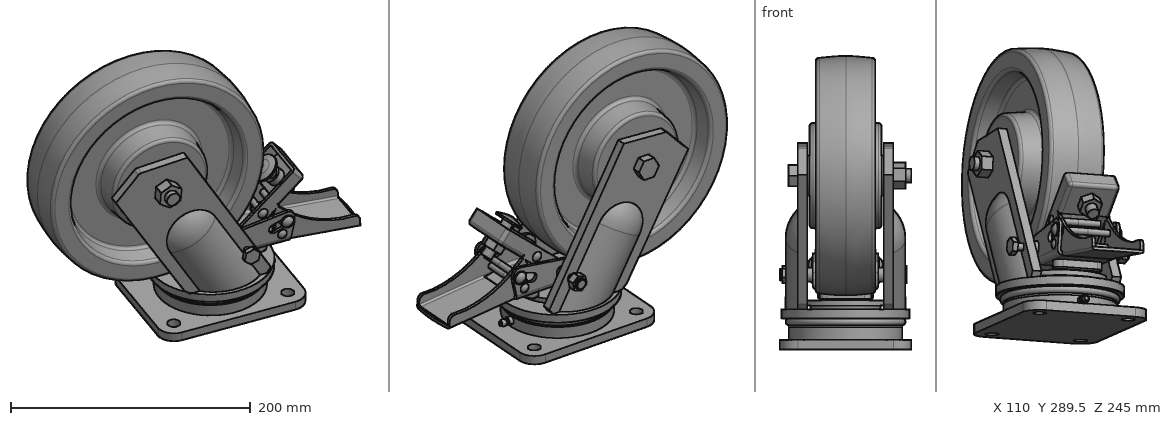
import cadquery as cq
import math


overall_length = 289.5
overall_height = 245.0

plate_width = 110.0
plate_length = 135.0
plate_thickness = 8.0
plate_corner_radius = 15.0
hole_diameter = 11.0
hole_spacing_x = 80.0
hole_spacing_y = 105.0
drum_radius = 47.5
drum_top = 18.5

nipple_height = 14.5
nipple_base_radius = 3.5
nipple_base_end = 51.5
nipple_neck_radius = 2.0
nipple_ball_radius = 3.2
nipple_ball_centre = 55.5

seal_radius = 50.0
seal_bottom = 20.3
seal_middle = 23.0
seal_top_radius = 48.5
flange_radius = 53.5
flange_bottom = 25.8
flange_top = 33.5
flange_chamfer = 0.5
cap_disc_radius = 40.0
cap_disc_bottom = 36.8
cap_disc_top = 41.0
cap_neck_root_radius = 28.0
cap_neck_radius = 29.5
cap_neck_middle = 35.0
cap_neck_top_radius = 29.0

leg_inner = 31.8
leg_thickness = 8.0
leg_outer = leg_inner + leg_thickness
leg_tilt = 30.0
leg_corner_radius = 4.3
bulge_radius = 33.5
bulge_reach = 50.0
bulge_axis_x = bulge_reach - bulge_radius
bulge_end_y = -35.0
bulge_end_z = 93.0
bulge_length = 115.8

wheel_diameter = 200.0
wheel_radius = wheel_diameter / 2
axle_y = -60.0
axle_z = overall_height - wheel_radius
tread_half_width = 25.0
tread_edge_x = 22.0
tread_edge_radius = 98.5
rim_lip_radius = 82.5
rim_recess_radius = 79.3
rim_floor_radius = 76.7
web_half_width = 7.0
web_outer_radius = 73.8
web_inner_radius = 49.2
hub_root_radius = 46.0
hub_radius = 44.0
hub_half_width = 30.0
blend = 3.0
wide_blend = 3.5

axle_diameter = 12.0
axle_end = 55.0
axle_sleeve_diameter = 34.0
axle_head_flats = 18.0
axle_head_thickness = 7.8
axle_nut_flats = 19.0
axle_nut_thickness = 10.0
axle_nut_turn = 25.3

pivot_y = 14.8
pivot_z = 62.5
pivot_shaft_diameter = 6.5
pivot_sleeve_diameter = 12.0
pivot_hex_flats = 13.0
pivot_hex_turn = 18.0
pivot_head_start = 46.5
pivot_head_thickness = 4.5
pivot_nut_start = 45.5
pivot_nut_thickness = 7.2
pivot_collar_diameter = 10.0
pivot_collar_thickness = 2.3
pivot_collar_chamfer = 1.0

sheet = 3.0
housing_half_width = 27.5
housing_bottom = 49.0
housing_bend = 5.5
housing_front_radius = 6.5
housing_end_radius = 9.3
slot_width = 8.5
slot_end_y = 45.5
slot_end_z = 67.0
pad_width = 43.0
pad_depth = 12.0
pad_y = 38.0
pad_chamfer = 1.5

pedal_half_width = 23.2
pedal_tip_y = overall_length - wheel_radius + axle_y
pedal_tip_z = 42.0
pedal_root_y = 60.0
pedal_root_z = 48.5
pedal_side_end_y = 127.3
pedal_tip_sagitta = 1.7
pedal_bend = 2.3
pedal_inner_bend = 1.7

rivet_shank_radius = 3.0
lock_rivet_y = 58.2
lock_rivet_z = 71.0
lock_rivet_diameter = 11.0
lock_rivet_height = 3.0
lock_collar_diameter = 12.0
lock_collar_thickness = 1.0
pedal_rivet_y = 53.5
pedal_rivet_z = 59.3
pedal_rivet_diameter = 8.5
arm_rivet_y = 37.5
arm_rivet_z = 82.2
arm_rivet_diameter = 9.0
small_rivet_height = 2.0

arm_tilt = 41.0
arm_length = 76.0
arm_depth = 14.8
arm_half_depth = arm_depth / 2
arm_web_start = 44.0
arm_bend = 3.2
screw_position = 58.0
screw_diameter = 10.0
screw_bottom = -23.0
screw_nut_flats = 17.0
screw_nut_thickness = 7.5
screw_collar_diameter = 15.0
screw_collar_height = 7.2
shoe_diameter = 25.0
shoe_ring_radius = 6.7
shoe_ring = 16.0
shoe_tip_radius = 2.17
shoe_rim = 12.2
shoe_apex = 17.0
shoe_thickness = 1.7

floor_slope = (pedal_root_z - pedal_tip_z) / (pedal_tip_y - pedal_root_y)


def hex_corners(flats):
    return flats / math.cos(math.radians(30))


def side_plane(x):
    """Plane at x whose local axes are Y and Z."""
    return cq.Workplane("YZ").workplane(offset=x)


def rod(y, z, diameter, start, end):
    return side_plane(start).center(y, z).circle(diameter / 2).extrude(end - start)


def hexagon(y, z, flats, start, thickness, turn=0):
    prism = side_plane(start).polygon(6, hex_corners(flats)).extrude(thickness)
    return prism.rotate((0, 0, 0), (1, 0, 0), turn).translate((0, y, z))


def both_sides(shape):
    return shape.union(shape.mirror("YZ"))


def grease_nipple():
    tip = nipple_ball_centre + nipple_ball_radius
    stem = (
        cq.Workplane("XZ", origin=(0, 0, nipple_height))
        .workplane(offset=-nipple_base_end)
        .circle(nipple_base_radius)
        .extrude(nipple_base_end - drum_radius + blend)
    )
    neck = (
        cq.Workplane("XZ", origin=(0, tip, nipple_height))
        .circle(nipple_neck_radius)
        .extrude(tip - drum_radius)
    )
    ball = cq.Workplane("XY").sphere(nipple_ball_radius).translate((0, nipple_ball_centre, nipple_height))
    return stem.union(neck).union(ball)


def make_base():
    plate = cq.Workplane("XY").rect(plate_width, plate_length).extrude(plate_thickness)
    plate = plate.edges("|Z").fillet(plate_corner_radius)
    hole_places = plate.faces(">Z").workplane().rect(hole_spacing_x, hole_spacing_y, forConstruction=True)
    plate = hole_places.vertices().hole(hole_diameter)
    drum = cq.Workplane("XY").circle(drum_radius).extrude(drum_top)
    return plate.union(drum).union(grease_nipple())


def fork_head():
    return (
        cq.Workplane("XZ")
        .moveTo(0, drum_top)
        .lineTo(drum_radius, drum_top)
        .lineTo(drum_radius, seal_bottom)
        .threePointArc((seal_radius, seal_middle), (seal_top_radius, flange_bottom))
        .lineTo(flange_radius - flange_chamfer, flange_bottom)
        .lineTo(flange_radius, flange_bottom + flange_chamfer)
        .lineTo(flange_radius, flange_top)
        .lineTo(cap_neck_root_radius, flange_top)
        .threePointArc((cap_neck_radius, cap_neck_middle), (cap_neck_top_radius, cap_disc_bottom))
        .lineTo(cap_disc_radius, cap_disc_bottom)
        .lineTo(cap_disc_radius, cap_disc_top)
        .lineTo(0, cap_disc_top)
        .close()
        .revolve(360, (0, 0), (0, 1))
    )


def fork_leg():
    front_top = (-84.0, 169.3)
    plate = (
        side_plane(leg_inner)
        .moveTo(33.3, flange_top)
        .lineTo(37.0, 38.8)
        .lineTo(-39.7, 172.5)
        .lineTo(*front_top)
        .lineTo(-106.0, 146.0)
        .lineTo(-42.8, 38.2)
        .lineTo(-37.5, flange_top)
        .close()
        .extrude(leg_thickness)
    )
    front_top_edge = cq.selectors.NearestToPointSelector((leg_inner + leg_thickness / 2, *front_top))
    return plate.edges(front_top_edge).fillet(leg_corner_radius)


def leg_bulge():
    """Round-ended stiffening bulge standing out of the leg, cut off by the flange."""
    barrel = (
        cq.Workplane("XY")
        .circle(bulge_radius)
        .extrude(-bulge_length)
        .union(cq.Workplane("XY").sphere(bulge_radius))
        .rotate((0, 0, 0), (1, 0, 0), leg_tilt)
        .translate((bulge_axis_x, bulge_end_y, bulge_end_z))
    )
    outside_leg = cq.Workplane("XY").box(
        bulge_reach, 2 * bulge_length, 2 * bulge_length, centered=(False, True, False)
    )
    return barrel.intersect(outside_leg.translate((leg_inner, 0, flange_top)))


def make_fork():
    leg = fork_leg().union(leg_bulge())
    axle_hole = rod(axle_y, axle_z, axle_diameter, -axle_end, axle_end)
    pivot_hole = rod(pivot_y, pivot_z, pivot_shaft_diameter, -axle_end, axle_end)
    return fork_head().union(both_sides(leg)).cut(axle_hole).cut(pivot_hole)


def make_wheel():
    bore_radius = axle_sleeve_diameter / 2
    crown_drop = (wheel_radius - tread_edge_radius) / 4
    half = (
        cq.Workplane("XY")
        .moveTo(0, bore_radius)
        .lineTo(hub_half_width, bore_radius)
        .lineTo(hub_half_width, hub_radius - blend)
        .radiusArc((hub_half_width - blend, hub_radius), -blend)
        .lineTo(web_half_width + blend, hub_root_radius)
        .radiusArc((web_half_width, web_inner_radius), wide_blend)
        .lineTo(web_half_width, web_outer_radius)
        .radiusArc((web_half_width + blend, rim_floor_radius), blend)
        .lineTo(tread_half_width - blend, rim_recess_radius)
        .radiusArc((tread_half_width, rim_lip_radius), -wide_blend)
        .lineTo(tread_half_width, tread_edge_radius - blend)
        .radiusArc((tread_edge_x, tread_edge_radius), -blend)
        .threePointArc((tread_edge_x / 2, wheel_radius - crown_drop), (0, wheel_radius))
        .close()
        .revolve(360, (0, 0), (1, 0))
    )
    return both_sides(half).translate((0, axle_y, axle_z))


def make_axle():
    head_start = -leg_outer - axle_head_thickness
    bolt = rod(axle_y, axle_z, axle_diameter, head_start, axle_end)
    sleeve = rod(axle_y, axle_z, axle_sleeve_diameter, -leg_inner, leg_inner)
    head = hexagon(axle_y, axle_z, axle_head_flats, head_start, axle_head_thickness)
    nut = hexagon(axle_y, axle_z, axle_nut_flats, leg_outer, axle_nut_thickness, axle_nut_turn)
    return bolt.union(sleeve).union(head).union(nut)


def make_pivot_bolt():
    nut_end = -pivot_nut_start - pivot_nut_thickness
    collar_end = nut_end - pivot_collar_thickness
    shaft = rod(pivot_y, pivot_z, pivot_shaft_diameter, nut_end, pivot_head_start)
    sleeve = rod(pivot_y, pivot_z, pivot_sleeve_diameter, -leg_inner, leg_inner)
    head = hexagon(
        pivot_y, pivot_z, pivot_hex_flats, pivot_head_start, pivot_head_thickness, pivot_hex_turn
    )
    nut = hexagon(pivot_y, pivot_z, pivot_hex_flats, nut_end, pivot_nut_thickness, pivot_hex_turn)
    collar = rod(pivot_y, pivot_z, pivot_collar_diameter, collar_end, nut_end)
    collar = collar.faces("<X").chamfer(pivot_collar_chamfer)
    return shaft.union(sleeve).union(head).union(nut).union(collar)


def round_bottomed_bar(width, bottom, bend):
    """Tall bar along Y with its two bottom edges rounded."""
    bar = cq.Workplane("XY").box(width, plate_length, overall_height, centered=(True, False, False))
    return bar.edges("|Y and <Z").fillet(bend).translate((0, 0, bottom))


def brake_housing():
    front_top = (65.0, 81.3)
    outline = [
        (60.5, housing_bottom),
        (64.8, 68.5),
        front_top,
        (4.5, 72.5),
        (4.5, housing_bottom),
    ]
    width = 2 * housing_half_width
    channel = side_plane(-housing_half_width).polyline(outline).close().extrude(width)
    channel = channel.edges(cq.selectors.NearestToPointSelector((0, *front_top))).fillet(housing_front_radius)
    channel = channel.edges("|X and <Y").fillet(housing_end_radius)
    channel = channel.intersect(round_bottomed_bar(width, housing_bottom, housing_bend))
    channel = channel.cut(round_bottomed_bar(width - 2 * sheet, housing_bottom + sheet, housing_bend - sheet))
    slot_length = math.hypot(lock_rivet_y - slot_end_y, lock_rivet_z - slot_end_z)
    slot_tilt = math.degrees(math.atan2(lock_rivet_z - slot_end_z, lock_rivet_y - slot_end_y))
    slot = (
        side_plane(-housing_half_width)
        .center((lock_rivet_y + slot_end_y) / 2, (lock_rivet_z + slot_end_z) / 2)
        .slot2D(slot_length + slot_width, slot_width, slot_tilt)
        .extrude(width)
    )
    return channel.cut(slot)


def brake_pad():
    pad = cq.Workplane("XY", origin=(0, pad_y, cap_disc_top)).slot2D(pad_width, pad_depth)
    return pad.extrude(housing_bottom + sheet / 2 - cap_disc_top).faces("<Z").chamfer(pad_chamfer)


def pedal_profile():
    return (
        side_plane(-pedal_half_width)
        .moveTo(pedal_root_y, pedal_root_z)
        .lineTo(pedal_tip_y, pedal_tip_z)
        .lineTo(pedal_tip_y, pedal_tip_z + sheet)
        .lineTo(pedal_side_end_y, pedal_tip_z + sheet)
        .lineTo(pedal_side_end_y, 48.5)
        .threePointArc((126.5, 52.0), (123.0, 54.5))
        .lineTo(110.8, 54.7)
        .threePointArc((88.5, 60.2), (65.5, 73.2))
        .lineTo(51.0, 85.7)
        .lineTo(47.8, 79.5)
        .lineTo(47.8, 53.5)
        .lineTo(pedal_root_y, pedal_root_z + sheet)
        .close()
    )


def brake_pedal():
    width = 2 * pedal_half_width
    pedal = pedal_profile().extrude(width)
    floor_middle = ((pedal_root_y + pedal_tip_y) / 2, (pedal_root_z + pedal_tip_z) / 2)
    for side in (-pedal_half_width, pedal_half_width):
        pedal = pedal.edges(cq.selectors.NearestToPointSelector((side, *floor_middle))).fillet(pedal_bend)
    floor_top = pedal_tip_z + sheet
    inside = [
        (pedal_tip_y, floor_top),
        (0, floor_top + floor_slope * pedal_tip_y),
        (0, overall_height),
        (pedal_tip_y, overall_height),
    ]
    hollow = side_plane(sheet - pedal_half_width).polyline(inside).close().extrude(width - 2 * sheet)
    hollow = hollow.faces("<Z").edges("not |X").fillet(pedal_inner_bend)
    corner_y = pedal_tip_y - pedal_tip_sagitta
    plan = (
        cq.Workplane("XY")
        .moveTo(-pedal_half_width, 0)
        .lineTo(-pedal_half_width, corner_y)
        .threePointArc((0, pedal_tip_y), (pedal_half_width, corner_y))
        .lineTo(pedal_half_width, 0)
        .close()
        .extrude(overall_height)
    )
    return pedal.cut(hollow).intersect(plan)


def arm_plane(x):
    """Plane at x with its origin on the pivot and its local x axis along the arm."""
    angle = math.radians(arm_tilt)
    along = (0, math.cos(angle), math.sin(angle))
    return cq.Workplane(cq.Plane(origin=(x, pivot_y, pivot_z), xDir=along, normal=(1, 0, 0)))


def brake_arm():
    """Two side strips from the pivot, joined by a tray with round bends that carries the screw."""
    strip = (
        arm_plane(pedal_half_width - sheet)
        .moveTo(0, -arm_half_depth)
        .lineTo(arm_web_start, -arm_half_depth)
        .lineTo(arm_web_start, arm_half_depth)
        .lineTo(0, arm_half_depth)
        .threePointArc((-arm_half_depth, 0), (0, -arm_half_depth))
        .close()
        .extrude(sheet)
    )
    tray_length = arm_length - arm_web_start
    tray_centre = (arm_length + arm_web_start) / 2
    width = 2 * pedal_half_width
    tray = cq.Workplane("XY").box(tray_length, 2 * arm_half_depth, width)
    tray = tray.faces("<Y or >X").edges("not (<X or >Y)").fillet(arm_bend)
    hollow = cq.Workplane("XY").box(tray_length, 2 * arm_half_depth, width - 2 * sheet)
    tray = tray.cut(hollow.translate((-sheet, sheet, 0)))
    tray_place = cq.Location(arm_plane(0).plane) * cq.Location(cq.Vector(tray_centre, 0, 0))
    tray = cq.Workplane(tray.val().moved(tray_place))
    return both_sides(strip).union(tray)


def adjusting_screw():
    radius = screw_diameter / 2
    shoe_radius = shoe_diameter / 2
    rise = shoe_apex - shoe_rim - shoe_thickness
    sphere_radius = (shoe_radius**2 + rise**2) / (2 * rise)
    under_edge = shoe_rim + rise - sphere_radius + math.sqrt(sphere_radius**2 - radius**2)
    screw = (
        arm_plane(0)
        .moveTo(screw_position, screw_bottom)
        .lineTo(screw_position + radius, screw_bottom)
        .lineTo(screw_position + radius, under_edge)
        .radiusArc((screw_position + shoe_radius, shoe_rim), sphere_radius)
        .lineTo(screw_position + shoe_radius, shoe_rim + shoe_thickness)
        .lineTo(screw_position + shoe_ring_radius, shoe_ring)
        .lineTo(screw_position + shoe_tip_radius, shoe_apex)
        .lineTo(screw_position, shoe_apex)
        .close()
        .revolve(360, (screw_position, 0), (screw_position, 1))
    )
    nut_plane = arm_plane(0).transformed(
        rotate=(90, 0, 0), offset=(screw_position, -arm_half_depth, 0)
    )
    nut = nut_plane.polygon(6, hex_corners(screw_nut_flats)).extrude(screw_nut_thickness)
    inner_face = sheet - arm_half_depth
    collar = arm_plane(0).transformed(rotate=(-90, 0, 0), offset=(screw_position, inner_face, 0))
    collar = collar.circle(screw_collar_diameter / 2).extrude(screw_collar_height)
    return screw.union(nut).union(collar)


def rivet(y, z, face, head_diameter, head_height):
    """Rivet across the brake with a domed head standing on each face."""
    head_radius = head_diameter / 2
    dome_radius = (head_radius**2 + head_height**2) / (2 * head_height)
    half = (
        cq.Workplane("XY")
        .lineTo(face + head_height, 0)
        .radiusArc((face, head_radius), -dome_radius)
        .lineTo(face, rivet_shank_radius)
        .lineTo(0, rivet_shank_radius)
        .close()
        .revolve(360, (0, 0), (1, 0))
    )
    return both_sides(half).translate((0, y, z))


def make_brake():
    collar_face = housing_half_width + lock_collar_thickness
    collar = rod(lock_rivet_y, lock_rivet_z, lock_collar_diameter, pedal_half_width, collar_face)
    lock_rivet = rivet(lock_rivet_y, lock_rivet_z, collar_face, lock_rivet_diameter, lock_rivet_height)
    pedal_rivet = rivet(
        pedal_rivet_y, pedal_rivet_z, housing_half_width, pedal_rivet_diameter, small_rivet_height
    )
    arm_rivet = rivet(arm_rivet_y, arm_rivet_z, pedal_half_width, arm_rivet_diameter, small_rivet_height)
    brake = brake_housing().union(brake_pad()).union(brake_pedal()).union(brake_arm())
    sight_hole = rod(slot_end_y, slot_end_z, slot_width, -leg_inner, leg_inner)
    brake = brake.cut(sight_hole)
    for fastener in (both_sides(collar), lock_rivet, pedal_rivet, arm_rivet, adjusting_screw()):
        brake = brake.union(fastener)
    return brake.cut(rod(pivot_y, pivot_z, pivot_sleeve_diameter, -leg_inner, leg_inner))


base = make_base()
fork = make_fork()
wheel = make_wheel()
axle = make_axle()
pivot_bolt = make_pivot_bolt()
brake = make_brake()

bodies = [base, fork, wheel, axle, pivot_bolt, brake]
result = cq.Compound.makeCompound([body.solids().val() for body in bodies])